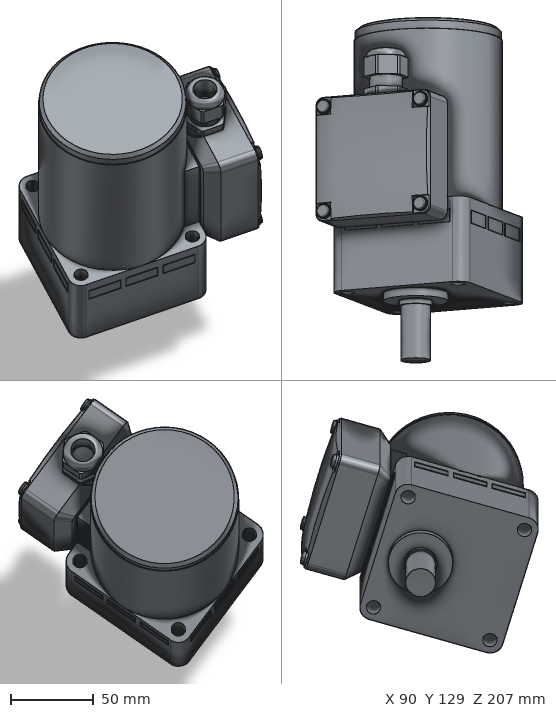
import cadquery as cq
import math


frame_size = 90.0
half_frame = frame_size / 2
gear_height = 52.5
gear_corner_radius = 8.0
bolt_circle_diameter = 104.0
bolt_hole_diameter = 8.5

label_width = 21.0
label_height = 8.0
label_pitch = 24.5
label_top_gap = 7.5
label_depth = 0.4
labels_per_side = 3

shaft_offset = 18.0
pilot_diameter = 39.0
pilot_height = 5.0
collar_diameter = 20.0
collar_height = 3.0
shaft_diameter = 18.0
shaft_length = 34.0
shaft_dome_height = 0.6

motor_top = 165.0
cap_diameter = 89.0
cap_height = 7.0
cap_chamfer_height = 2.0
cap_chamfer_width = 2.3

pad_width = 56.0
pad_height = 55.0

box_center_z = 74.8
box_size = 76.4
box_corner_radius = 5.0
box_back_width = 63.0
box_back_height = 66.0
box_back_corner_radius = 3.0
gasket_width = 54.0
gasket_height = 56.0
box_back_y = 46.3
box_shoulder_y = 55.0
lid_base_y = 79.3
lid_top_y = 84.0
lid_side_taper = 25.0
lid_dome_radius = 420.0
half_box = box_size / 2
box_top = box_center_z + half_box

screw_pocket_size = 11.0
screw_pocket_floor_y = 80.4
screw_inset = 6.0
screw_flange_diameter = 9.0
screw_flange_top_y = 81.8
screw_head_diameter = 8.0
screw_head_top_y = 83.4
screw_head_fillet = 0.6

gland_y = 61.0
nut_across_flats = 24.0
nut_corner_diameter = 26.8
lower_nut_height = 5.5
neck_diameter = 20.0
neck_height = 7.5
upper_nut_height = 11.8
dome_height = 5.0
dome_fillet = 4.7
gland_bore_diameter = 14.4
gland_boss_depth = 8.0


def cylinder_z(diameter, height, bottom, y=0.0):
    """Vertical cylinder on X = 0, standing on the level `bottom`."""
    return cq.Workplane("XY", origin=(0, y, bottom)).circle(diameter / 2).extrude(height)


def box_plane(y):
    """Workplane facing +Y, centred on the terminal box."""
    return cq.Workplane(cq.Plane(origin=(0, y, box_center_z), xDir=(1, 0, 0), normal=(0, 1, 0)))


def box_corners(inset):
    """Points set in by `inset` from both sides at the four box corners."""
    reach = half_box - inset
    return [(sx * reach, sy * reach) for sx in (-1, 1) for sy in (-1, 1)]


def rounded_rectangle(width, height, radius):
    return cq.Sketch().rect(width, height).vertices().fillet(radius)


def gear_housing():
    hole_spacing = bolt_circle_diameter / math.sqrt(2)
    housing = (
        cq.Workplane("XY")
        .rect(frame_size, frame_size)
        .extrude(gear_height)
        .edges("|Z")
        .fillet(gear_corner_radius)
    )
    holes = (
        cq.Workplane("XY")
        .rect(hole_spacing, hole_spacing, forConstruction=True)
        .vertices()
        .circle(bolt_hole_diameter / 2)
        .extrude(gear_height)
    )
    return housing.cut(holes)


def label_recesses():
    """Row of shallow rectangular recesses in each of the four housing sides."""
    label_z = gear_height - label_top_gap - label_height / 2
    row = (
        cq.Workplane("XZ", origin=(0, -half_frame, label_z))
        .rarray(label_pitch, 1, labels_per_side, 1)
        .rect(label_width, label_height)
        .extrude(-label_depth)
    )
    recesses = row
    for angle in (90, 180, 270):
        recesses = recesses.add(row.rotate((0, 0, 0), (0, 0, 1), angle))
    return recesses.combine()


def output_shaft():
    """Pilot, collar and shaft with a slightly domed end, pointing down."""
    shaft_radius = shaft_diameter / 2
    collar_level = -pilot_height
    shaft_level = collar_level - collar_height
    end_level = shaft_level - shaft_length
    rim_level = end_level + shaft_dome_height
    dome_radius = (shaft_radius**2 + shaft_dome_height**2) / (2 * shaft_dome_height)
    mid_radius = shaft_radius / 2
    mid_level = end_level + dome_radius - math.sqrt(dome_radius**2 - mid_radius**2)
    profile = (
        cq.Workplane("XZ", origin=(0, shaft_offset, 0))
        .lineTo(pilot_diameter / 2, 0)
        .lineTo(pilot_diameter / 2, collar_level)
        .lineTo(collar_diameter / 2, collar_level)
        .lineTo(collar_diameter / 2, shaft_level)
        .lineTo(shaft_radius, shaft_level)
        .lineTo(shaft_radius, rim_level)
        .threePointArc((mid_radius, mid_level), (0, end_level))
        .close()
    )
    return profile.revolve(360, (0, 0, 0), (0, 1, 0))


def motor_case():
    """Round case with a stepped, chamfered end cap and the flat mounting pad."""
    cap_level = motor_top - cap_height
    case = cylinder_z(frame_size, cap_level - gear_height, gear_height)
    cap = cylinder_z(cap_diameter, cap_height, cap_level)
    cap = cap.faces(">Z").chamfer(cap_chamfer_height, cap_chamfer_width)
    pad = cq.Workplane("XY").box(pad_width, half_frame, pad_height, centered=(True, False, False))
    return case.union(cap).union(pad.translate((0, 0, gear_height)))


def terminal_box_body():
    """Gasket, tapered back and straight walls of the terminal box."""
    gasket = box_plane(half_frame).rect(gasket_width, gasket_height).extrude(box_back_y - half_frame)
    back_outline = rounded_rectangle(box_back_width, box_back_height, box_back_corner_radius)
    wall_outline = rounded_rectangle(box_size, box_size, box_corner_radius)
    to_shoulder = cq.Location(cq.Vector(0, 0, box_shoulder_y - box_back_y))
    taper = box_plane(box_back_y).placeSketch(back_outline, wall_outline.moved(to_shoulder)).loft()
    walls = box_plane(box_shoulder_y).placeSketch(wall_outline).extrude(lid_base_y - box_shoulder_y)
    return gasket.union(taper).union(walls)


def terminal_box_lid():
    """Domed lid with a screw standing in a pocket at each corner."""
    outline = rounded_rectangle(box_size, box_size, box_corner_radius)
    lid = (
        box_plane(lid_base_y)
        .placeSketch(outline)
        .extrude(lid_top_y - lid_base_y, taper=lid_side_taper)
    )
    dome = cq.Workplane("XY").sphere(lid_dome_radius)
    lid = lid.intersect(dome.translate((0, lid_top_y - lid_dome_radius, box_center_z)))
    pockets = (
        box_plane(screw_pocket_floor_y)
        .pushPoints(box_corners(0))
        .rect(2 * screw_pocket_size, 2 * screw_pocket_size)
        .extrude(lid_top_y - screw_pocket_floor_y)
    )
    lid = lid.cut(pockets)
    flanges = (
        box_plane(screw_pocket_floor_y)
        .pushPoints(box_corners(screw_inset))
        .circle(screw_flange_diameter / 2)
        .extrude(screw_flange_top_y - screw_pocket_floor_y)
    )
    heads = (
        box_plane(screw_flange_top_y)
        .pushPoints(box_corners(screw_inset))
        .circle(screw_head_diameter / 2)
        .extrude(screw_head_top_y - screw_flange_top_y)
        .faces(">Y")
        .edges()
        .fillet(screw_head_fillet)
    )
    return lid.union(flanges).union(heads)


def hex_nut(height, bottom):
    """Hexagonal nut with flats facing -X and +X and its corners turned round."""
    across_corners = nut_across_flats / math.cos(math.pi / 6)
    hexagon = cq.Workplane("XY").polygon(6, across_corners).extrude(height)
    hexagon = hexagon.rotate((0, 0, 0), (0, 0, 1), 90).translate((0, gland_y, bottom))
    return hexagon.intersect(cylinder_z(nut_corner_diameter, height, bottom, gland_y))


def cable_gland():
    """Boss, lower nut, neck, upper nut and bored dome, stacked upward."""
    neck_level = box_top + lower_nut_height
    upper_nut_level = neck_level + neck_height
    dome_level = upper_nut_level + upper_nut_height
    boss = cylinder_z(nut_corner_diameter, gland_boss_depth, box_top - gland_boss_depth, gland_y)
    neck = cylinder_z(neck_diameter, neck_height, neck_level, gland_y)
    dome = cylinder_z(nut_across_flats, dome_height, dome_level, gland_y)
    dome = dome.faces(">Z").edges().fillet(dome_fillet)
    bore_depth = upper_nut_height + dome_height
    bore = cylinder_z(gland_bore_diameter, bore_depth, upper_nut_level, gland_y)
    gland = boss.union(hex_nut(lower_nut_height, box_top)).union(neck)
    return gland.union(hex_nut(upper_nut_height, upper_nut_level)).union(dome).cut(bore)


gearhead = gear_housing().cut(label_recesses()).union(output_shaft())
motor = motor_case().union(terminal_box_body()).union(terminal_box_lid()).union(cable_gland())

result = cq.Compound.makeCompound([gearhead.val(), motor.val()])